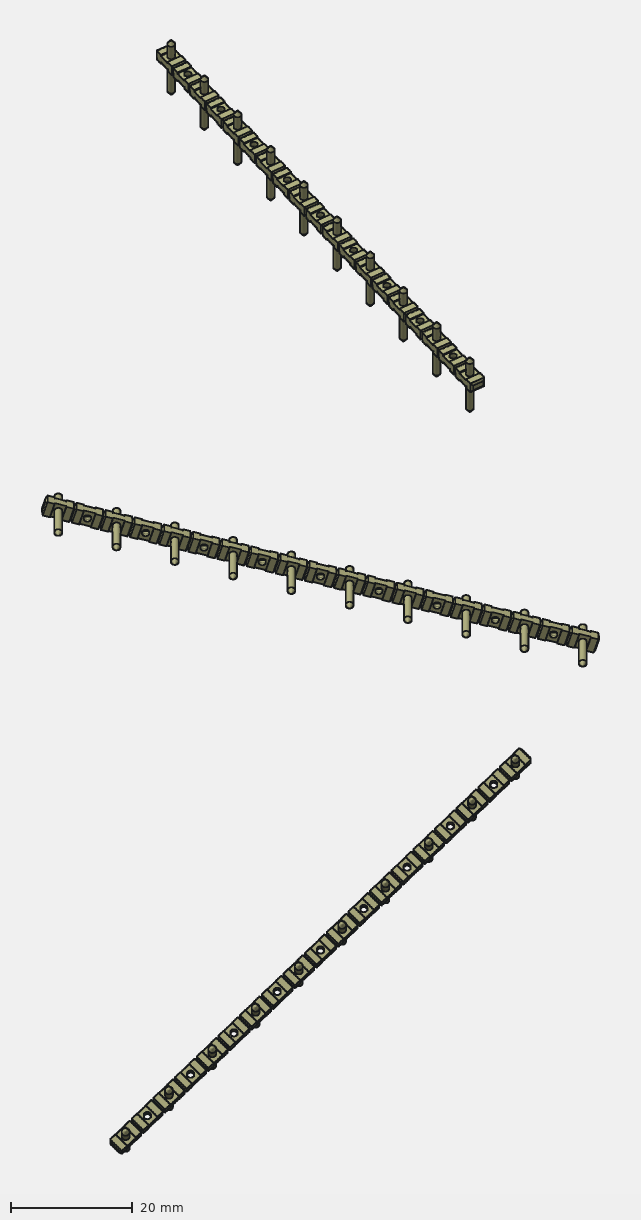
import cadquery as cq

strip_length = 95.0
block_count = 19
pitch = strip_length / block_count
strip_width = 2.8
strip_height = 2.0

taper_length = 0.25
taper_side = 0.4
taper_top = 0.5

groove_width = 2.0
groove_depth = 0.25

pin_diameter = 1.3
hole_diameter = 1.2
pin_length = 12.5
pin_above_strip = 3.5
point_height = 0.95

pin_top = strip_height / 2 + pin_above_strip
pin_bottom = pin_top - pin_length


def make_block_end(direction):
    """Tapered end of a block centred on the origin, facing +X (1) or -X (-1)."""
    start = direction * (pitch / 2 - taper_length)
    return (
        cq.Workplane("YZ", origin=(start, 0, 0))
        .rect(strip_width, strip_height)
        .workplane(offset=direction * taper_length)
        .rect(strip_width - 2 * taper_side, strip_height - 2 * taper_top)
        .loft(ruled=True)
    )


def make_block():
    """Grooved block with two tapered ends, centred on the origin."""
    block = cq.Workplane("XY").box(pitch - 2 * taper_length, strip_width, strip_height)
    groove = cq.Workplane("XY").box(groove_width, strip_width, 2 * groove_depth)
    for side in (1, -1):
        block = block.cut(groove.translate((0, 0, side * strip_height / 2)))
        block = block.union(make_block_end(side))
    return block


def make_pin():
    """Round pin along Z with a sharp cone at each end."""
    radius = pin_diameter / 2
    return (
        cq.Workplane("XZ")
        .moveTo(0, pin_bottom)
        .lineTo(radius, pin_bottom + point_height)
        .lineTo(radius, pin_top - point_height)
        .lineTo(0, pin_top)
        .close()
        .revolve(360, (0, 0, 0), (0, 1, 0))
    )


plain_block = make_block()
pinned_block = plain_block.union(make_pin())
hole = cq.Workplane("XY").circle(hole_diameter / 2).extrude(strip_height, both=True)
open_block = plain_block.cut(hole)

first_x = -(block_count - 1) / 2 * pitch
result = pinned_block.translate((first_x, 0, 0))
for index in range(1, block_count):
    block = pinned_block if index % 2 == 0 else open_block
    result = result.union(block.translate((first_x + index * pitch, 0, 0)))